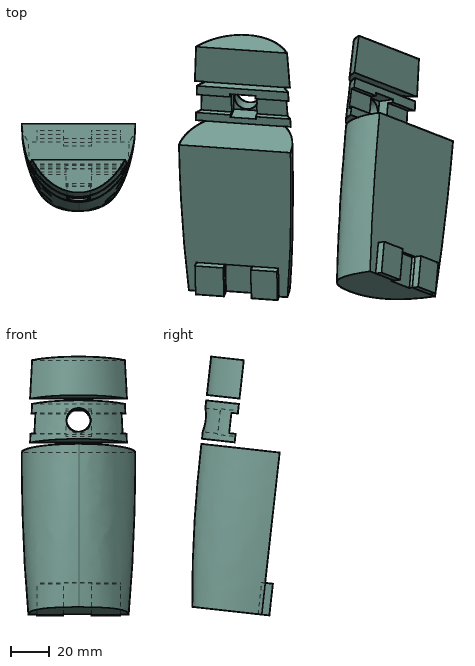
import cadquery as cq

LEAN = 6.35

BODY_HEIGHT = 83.9
BODY_TOP_WIDTH = 58.5
BODY_FOOT_WIDTH = 51.7
BODY_TOP_DEPTH = 40.6
BODY_FOOT_DEPTH = 36.0
TAPER_POWER = 2.2
BODY_STATIONS = 4
BODY_TOP_FULLNESS = 0.56
BODY_FOOT_FULLNESS = 0.68

PAD_THICKNESS = 4.0
PAD_HEIGHT = 16.5
PAD_OUTER_X = 21.5
NOTCH_LEFT_X = -7.7
NOTCH_RIGHT_X = 6.7
NOTCH_DEPTH = 2.0

BLANK_HEIGHT = 20.0
BLANK_BACK_Y = -23.6
BLANK_DEPTH = 17.0
BLANK_FOOT_WIDTH = 50.0
BLANK_TOP_WIDTH = 47.8
CUBIC_REACH = 0.75
BLANK_FULLNESS = 0.5
RING_GAP = 2.5
CAP_GAP = 2.7
RING_BASE_Z = BODY_HEIGHT + RING_GAP
CAP_BASE_Z = RING_BASE_Z + BLANK_HEIGHT + CAP_GAP

HOLE_DIAMETER = 12.3
HOLE_HEIGHT = 9.9
SLOT_DEPTH = 3.3
SLOT_HEIGHT = 10.4
SLOT_BASE = 4.5
POCKET_SIDE = 13.3
POCKET_DEPTH = 9.3


def body_section(fraction):
    """Half-oval body outline at a fraction of the body height."""
    taper = (1 - fraction) ** TAPER_POWER
    half_width = (BODY_TOP_WIDTH - (BODY_TOP_WIDTH - BODY_FOOT_WIDTH) * taper) / 2
    depth = BODY_TOP_DEPTH - (BODY_TOP_DEPTH - BODY_FOOT_DEPTH) * taper
    fullness = BODY_TOP_FULLNESS - (BODY_TOP_FULLNESS - BODY_FOOT_FULLNESS) * taper
    side_handle = depth * fullness
    tip_handle = half_width * fullness
    tip = (0, -depth)
    return (
        cq.Workplane("XY", origin=(0, 0, BODY_HEIGHT * fraction))
        .moveTo(-half_width, 0)
        .bezier([(-half_width, 0), (-half_width, -side_handle), (-tip_handle, -depth), tip])
        .bezier([tip, (tip_handle, -depth), (half_width, -side_handle), (half_width, 0)])
        .close()
        .wire()
        .val()
    )


def make_body():
    sections = [body_section(i / (BODY_STATIONS - 1)) for i in range(BODY_STATIONS)]
    body = cq.Workplane(cq.Solid.makeLoft(sections))
    notch = (
        cq.Workplane("XY")
        .box(NOTCH_RIGHT_X - NOTCH_LEFT_X, NOTCH_DEPTH, PAD_HEIGHT, centered=False)
        .translate((NOTCH_LEFT_X, -NOTCH_DEPTH, 0))
    )
    return body.cut(notch)


def make_pad(start_x, end_x):
    return (
        cq.Workplane("XY")
        .box(end_x - start_x, PAD_THICKNESS, PAD_HEIGHT, centered=False)
        .translate((start_x, 0, 0))
    )


def blank_section(width, z):
    """Bowed outline with a flat back."""
    half_width = width / 2
    back_left = (-half_width, BLANK_BACK_Y)
    back_right = (half_width, BLANK_BACK_Y)
    handle_x = half_width * BLANK_FULLNESS
    handle_y = BLANK_BACK_Y - BLANK_DEPTH / CUBIC_REACH
    return (
        cq.Workplane("XY", origin=(0, 0, z))
        .moveTo(*back_left)
        .bezier([back_left, (-handle_x, handle_y), (handle_x, handle_y), back_right])
        .close()
        .wire()
        .val()
    )


def make_blank(base_z):
    foot = blank_section(BLANK_FOOT_WIDTH, base_z)
    top = blank_section(BLANK_TOP_WIDTH, base_z + BLANK_HEIGHT)
    return cq.Workplane(cq.Solid.makeLoft([foot, top], True))


def make_ring():
    slot = (
        cq.Workplane("XY")
        .box(BLANK_FOOT_WIDTH, SLOT_DEPTH, SLOT_HEIGHT, centered=(True, False, False))
        .translate((0, BLANK_BACK_Y - SLOT_DEPTH, RING_BASE_Z + SLOT_BASE))
    )
    hole_plane = cq.Workplane("XZ", origin=(0, BLANK_BACK_Y, RING_BASE_Z + HOLE_HEIGHT))
    hole = hole_plane.circle(HOLE_DIAMETER / 2).extrude(BLANK_DEPTH)
    pocket = hole_plane.rect(POCKET_SIDE, POCKET_SIDE).extrude(POCKET_DEPTH)
    return make_blank(RING_BASE_Z).cut(slot).cut(pocket).cut(hole)


def lean(part):
    return part.rotate((0, 0, 0), (1, 0, 0), -LEAN).val()


body = make_body()
ring = make_ring()
cap = make_blank(CAP_BASE_Z)
pad_spans = [(-PAD_OUTER_X, NOTCH_LEFT_X), (NOTCH_RIGHT_X, PAD_OUTER_X)]
pads = [make_pad(start_x, end_x) for start_x, end_x in pad_spans]

result = cq.Compound.makeCompound([lean(part) for part in (body, ring, cap, *pads)])